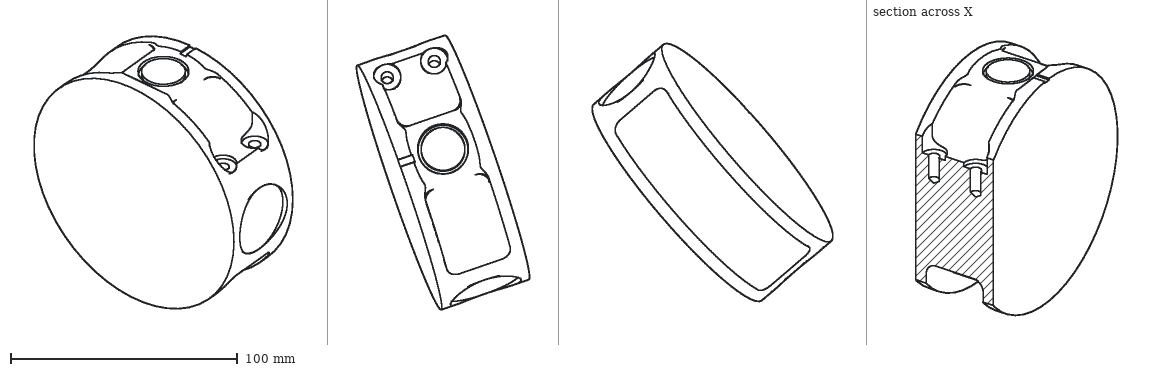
import cadquery as cq
import math

BODY_RADIUS = 57.0
BODY_WIDTH = 41.0
OUTSIDE = BODY_RADIUS + 5.0
TOLERANCE = 0.01

CHANNEL_WIDTH = 29.6
FLOOR_RADIUS = 47.0
FLOOR_FILLET = 5.0
LEFT_END_Z = 27.0
RIGHT_END_Z = 31.0
LOWER_END_Z = -LEFT_END_Z

PAD_HALF_WIDTH = 15.2
PAD_TOP_Z = 55.0
PAD_SHOULDER_RADIUS = 3.0
PAD_SIDE_FILLET = 4.0
SHOULDER_Z = PAD_TOP_Z - PAD_SHOULDER_RADIUS

GROOVE_OUTER_DIA = 22.4
GROOVE_FLOOR_OUTER_DIA = 22.0
GROOVE_INNER_DIA = 19.3
GROOVE_DEPTH = 2.0

SIDE_FLAT_RADIUS = 16.5
SIDE_FLAT_X = math.sqrt(BODY_RADIUS**2 - SIDE_FLAT_RADIUS**2)

NOTCH_WIDTH = 3.3
NOTCH_FLOOR_Z = 56.2

SCREW_X = 43.0
SCREW_Y = 11.0
SCREW_SEAT_Z = 29.0
SCREW_SEAT_RADIUS = 6.0
SCREW_HOLE_RADIUS = 2.65
SCREW_HOLE_DEPTH = 12.0
DRILL_POINT_ANGLE = 118.0


def disc(radius, width):
    """Disc about the Y axis, centred on Y = 0."""
    return cq.Workplane("XZ").circle(radius).extrude(width / 2, both=True)


def channel_block(x_min, x_max, z_min, z_max):
    """Box spanning the width of the channel."""
    return cq.Workplane("XY").box(x_max - x_min, CHANNEL_WIDTH, z_max - z_min).translate(
        ((x_min + x_max) / 2, 0, (z_min + z_max) / 2)
    )


def rim_pocket(x_min, x_max, z_min, z_max):
    """Piece of the channel within the given limits, with all its buried edges rounded."""
    ring = disc(OUTSIDE, CHANNEL_WIDTH).cut(disc(FLOOR_RADIUS, CHANNEL_WIDTH))
    pocket = ring.intersect(channel_block(x_min, x_max, z_min, z_max))

    def is_buried(edge):
        middle = edge.positionAt(0.5)
        return math.hypot(middle.x, middle.z) < BODY_RADIUS

    return pocket.newObject([e for e in pocket.edges().vals() if is_buried(e)]).fillet(FLOOR_FILLET)


def pad_slot():
    """Space above the pad, blended to the flanges over the flat top and rounded shoulders."""
    reach = PAD_HALF_WIDTH + 2 * PAD_SIDE_FILLET
    pad = (
        channel_block(-PAD_HALF_WIDTH, PAD_HALF_WIDTH, FLOOR_RADIUS, PAD_TOP_Z)
        .edges("|Y and >Z")
        .fillet(PAD_SHOULDER_RADIUS)
    )
    slot = channel_block(-reach, reach, FLOOR_RADIUS, OUTSIDE).cut(pad)

    def follows_pad(edge):
        middle = edge.positionAt(0.5)
        on_side = edge.BoundingBox().ylen < TOLERANCE
        on_pad = abs(middle.x) < PAD_HALF_WIDTH + TOLERANCE
        return on_side and on_pad and FLOOR_RADIUS < middle.z < PAD_TOP_Z + TOLERANCE

    slot = slot.newObject([e for e in slot.edges().vals() if follows_pad(e)]).fillet(PAD_SIDE_FILLET)
    return slot.intersect(channel_block(-reach, reach, SHOULDER_Z, OUTSIDE))


def button_groove():
    """Ring groove with a slightly tapered outer wall."""
    floor_z = PAD_TOP_Z - GROOVE_DEPTH
    return (
        cq.Workplane("XZ")
        .moveTo(GROOVE_INNER_DIA / 2, floor_z)
        .lineTo(GROOVE_FLOOR_OUTER_DIA / 2, floor_z)
        .lineTo(GROOVE_OUTER_DIA / 2, PAD_TOP_Z)
        .lineTo(GROOVE_OUTER_DIA / 2, BODY_RADIUS)
        .lineTo(GROOVE_INNER_DIA / 2, BODY_RADIUS)
        .close()
        .revolve(360, (0, 0), (0, 1))
    )


def side_flat(side):
    return (
        cq.Workplane("YZ", origin=(side * SIDE_FLAT_X, 0, 0))
        .circle(SIDE_FLAT_RADIUS)
        .extrude(side * (OUTSIDE - SIDE_FLAT_X))
    )


def index_notch():
    """Slot from the back face to the pad."""
    length = BODY_WIDTH / 2
    height = OUTSIDE - NOTCH_FLOOR_Z
    return cq.Workplane("XY").box(NOTCH_WIDTH, length, height).translate(
        (0, length / 2, NOTCH_FLOOR_Z + height / 2)
    )


def screw_hole(y):
    """Seat, hole and drill point revolved about the screw axis."""
    bottom_z = SCREW_SEAT_Z - SCREW_HOLE_DEPTH
    point_length = SCREW_HOLE_RADIUS / math.tan(math.radians(DRILL_POINT_ANGLE / 2))
    hole = (
        cq.Workplane("XZ")
        .moveTo(0, OUTSIDE)
        .lineTo(SCREW_SEAT_RADIUS, OUTSIDE)
        .lineTo(SCREW_SEAT_RADIUS, SCREW_SEAT_Z)
        .lineTo(SCREW_HOLE_RADIUS, SCREW_SEAT_Z)
        .lineTo(SCREW_HOLE_RADIUS, bottom_z)
        .lineTo(0, bottom_z - point_length)
        .close()
        .revolve(360, (0, 0), (0, 1))
    )
    return hole.translate((SCREW_X, y, 0))


left_pocket = rim_pocket(-OUTSIDE, -PAD_HALF_WIDTH, LEFT_END_Z, OUTSIDE)
right_pocket = rim_pocket(PAD_HALF_WIDTH, OUTSIDE, RIGHT_END_Z, OUTSIDE)
lower_pocket = rim_pocket(-OUTSIDE, OUTSIDE, -OUTSIDE, LOWER_END_Z)

result = disc(BODY_RADIUS, BODY_WIDTH)
result = result.cut(left_pocket).cut(right_pocket).cut(lower_pocket)
result = result.cut(pad_slot()).cut(button_groove()).cut(index_notch())
for side in (-1, 1):
    result = result.cut(side_flat(side))
for screw_y in (-SCREW_Y, SCREW_Y):
    result = result.cut(screw_hole(screw_y))